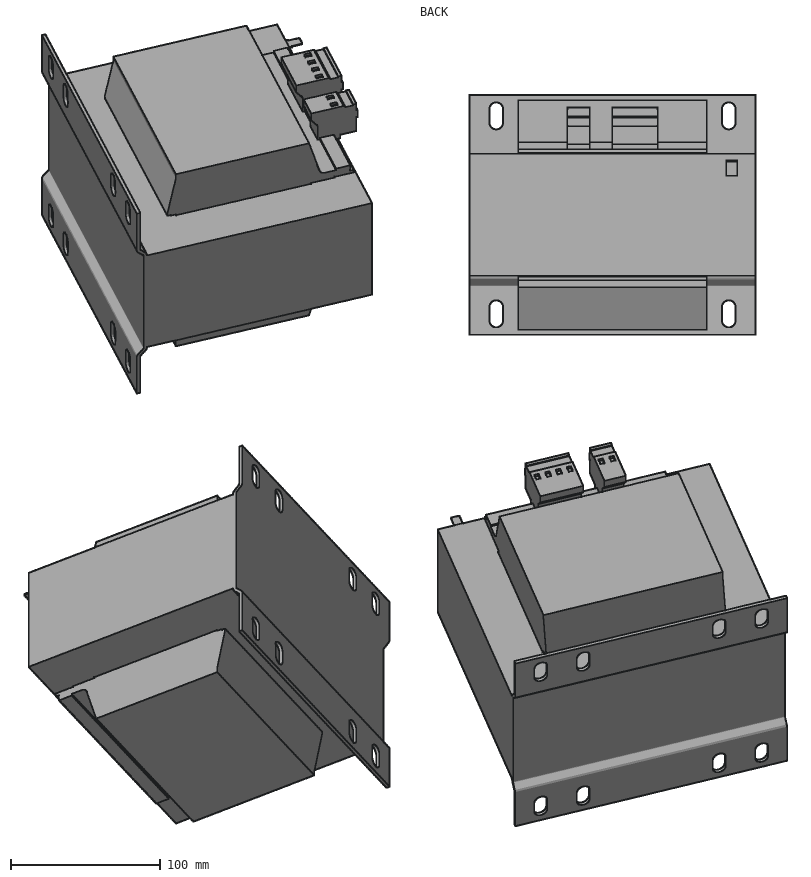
import cadquery as cq
import math


limb = 32.0
core_width = 6 * limb
core_length = 5 * limb
core_height = 82.0
core_top = core_height / 2

sheet = 2.5
flange_offset = 4.8
bracket_height = 161.0
bracket_top = bracket_height / 2
bend_inner_radius = 1.0
bend_outer_radius = bend_inner_radius + sheet
joggle_start = 41.6
bend_shift = sheet * math.tan(math.radians(45 / 2))
web_back = flange_offset + sheet
core_front = web_back
core_back = core_front + core_length
yoke_front_edge = core_front + limb
yoke_back_edge = core_back - limb

slot_width = 9.0
slot_length = 18.0
slot_height = 66.4
slot_offsets = (48.0, 78.0)

coil_width = 126.5
coil_top = 77.0
coil_front = 33.2
coil_shoulder = 73.4
coil_foot = 43.5
coil_top_back = 134.0
coil_root_back = 142.3
root_radius = 4.0
underside_gap = 0.6
coil_underside = core_top + underside_gap
seat_front = 35.8
seat_back = 152.2

shelf_top = 47.3
rail_top = 48.7
rail_front = 153.2
rail_back = 163.2
lip_back = 165.6
lip_top = 44.0

pole_pitch = 7.6
block_width = 2 * pole_pitch
block_starts = (-30.2, -15.0, 15.1)
block_top = 72.3
block_front = 147.1
block_neck = 151.7
block_nose_bottom = 66.2
block_neck_top = 59.8
block_bottom = 47.2
block_back = 179.3
hook_back = 167.8
hook_bottom = 44.1
bulge = 1.0
bulge_low, bulge_high = 59.4, 66.0
bulge_slope = 0.8
groove_front, groove_back = 171.5, 177.0
groove_floor = 70.9
groove_ridge = 71.7
groove_ramp = block_top - groove_floor
entry_width = 3.0
entry_length = 4.5
entry_depth = 2.0
entry_centre = 164.7

tab_x = -80.0
tab_sheet = 0.8
tab_base_width = 7.7
tab_blade_width = 6.1
tab_top = 36.5
tab_bottom = 26.3
tab_shoulder = 170.9
tab_end = 178.7
tab_end_chamfer = 0.5


def extrude_across(points, x_start, width):
    """Extrude a closed (Y, Z) outline along X."""
    return cq.Workplane("YZ", origin=(x_start, 0, 0)).polyline(points).close().extrude(width)


def fillet_corner(body, y, z, radius):
    """Round the edge along X that passes through (y, z)."""
    edge = cq.selectors.NearestToPointSelector((0, y, z))
    return body.edges(edge).fillet(radius)


def box(x_range, y_range, z_range):
    """Box between pairs of X, Y and Z limits."""
    size = [high - low for low, high in (x_range, y_range, z_range)]
    corner = (x_range[0], y_range[0], z_range[0])
    return cq.Workplane("XY").box(*size, centered=False).translate(corner)


def with_mirror(body):
    """Join a body above the mid plane with its mirror image below."""
    return body.union(body.mirror("XY"))


def make_core():
    """Core block with the narrow gaps between the window sides and the coil."""
    core = box(
        (-core_width / 2, core_width / 2), (core_front, core_back), (-core_top, core_top)
    )
    window_edge = 2 * limb
    for side in (-1, 1):
        x_range = sorted((side * coil_width / 2, side * window_edge))
        gap = box(x_range, (yoke_front_edge, yoke_back_edge), (-core_top, core_top))
        core = core.cut(gap)
    return core


def make_bracket():
    """Front sheet with 45 degree joggles leading to two slotted flanges."""
    joggle_end = joggle_start + flange_offset
    web_outer_bend = (flange_offset, joggle_start)
    web_inner_bend = (web_back, joggle_start + bend_shift)
    flange_outer_bend = (0, joggle_end)
    flange_inner_bend = (sheet, joggle_end + bend_shift)
    upper_half = [
        (web_back, 0),
        web_inner_bend,
        flange_inner_bend,
        (sheet, bracket_top),
        (0, bracket_top),
        flange_outer_bend,
        web_outer_bend,
        (flange_offset, 0),
    ]
    half = extrude_across(upper_half, -core_width / 2, core_width)
    for y, z in (web_outer_bend, flange_inner_bend):
        half = fillet_corner(half, y, z, bend_inner_radius)
    for y, z in (web_inner_bend, flange_outer_bend):
        half = fillet_corner(half, y, z, bend_outer_radius)
    centres = [(side * x, slot_height) for x in slot_offsets for side in (-1, 1)]
    slots = (
        cq.Workplane("XZ")
        .pushPoints(centres)
        .slot2D(slot_length, slot_width, 90)
        .extrude(-sheet)
    )
    return with_mirror(half.cut(slots))


def make_coil_end():
    """Upper bobbin end: tapered coil cover, shelf, terminal rail and lip."""
    outline = [
        (seat_front, core_top),
        (seat_front, coil_underside),
        (coil_front, coil_underside),
        (coil_front, coil_foot),
        (yoke_front_edge, coil_shoulder),
        (yoke_front_edge, coil_top),
        (coil_top_back, coil_top),
        (coil_root_back, shelf_top),
        (rail_front, shelf_top),
        (rail_front, rail_top),
        (rail_back, rail_top),
        (rail_back, lip_top),
        (lip_back, lip_top),
        (lip_back, coil_underside),
        (seat_back, coil_underside),
        (seat_back, core_top),
    ]
    coil_end = extrude_across(outline, -coil_width / 2, coil_width)
    return fillet_corner(coil_end, coil_root_back, shelf_top, root_radius)


def make_terminal_block(x_start):
    """Two-pole terminal block hooked over the back of the rail."""
    outline = [
        (block_front, block_top),
        (block_front, block_nose_bottom),
        (block_neck, block_neck_top),
        (block_neck, shelf_top),
        (rail_front, shelf_top),
        (rail_front, rail_top),
        (rail_back, rail_top),
        (rail_back, hook_bottom),
        (hook_back, hook_bottom),
        (hook_back, block_bottom),
        (block_back, block_bottom),
        (block_back, bulge_low),
        (block_back + bulge, bulge_low),
        (block_back + bulge, bulge_high - bulge_slope),
        (block_back, bulge_high),
        (block_back, groove_ridge),
        (groove_back, groove_ridge),
        (groove_back, groove_floor),
        (groove_front, groove_floor),
        (groove_front - groove_ramp, block_top),
    ]
    block = extrude_across(outline, x_start, block_width)
    first_pole = x_start + pole_pitch / 2
    entries = (
        cq.Workplane("XY", origin=(0, 0, block_top))
        .pushPoints([(first_pole + pole * pole_pitch, entry_centre) for pole in range(2)])
        .rect(entry_width, entry_length)
        .extrude(-entry_depth)
    )
    return block.cut(entries)


def make_earth_tab():
    """L-shaped sheet tab: a plate on the core and a blade pointing backwards."""
    half_base = tab_base_width / 2
    half_blade = tab_blade_width / 2
    base_range = (tab_x - half_base, tab_x + half_base)
    blade_range = (tab_x - half_blade, tab_x + half_blade)
    blade_bottom = tab_top - tab_sheet
    plate = box(base_range, (core_back, core_back + tab_sheet), (tab_bottom, tab_top))
    shoulder = box(base_range, (core_back, tab_shoulder), (blade_bottom, tab_top))
    blade = box(blade_range, (core_back, tab_end), (blade_bottom, tab_top))
    blade = blade.faces(">Y").edges("|Z").chamfer(tab_end_chamfer)
    return plate.union(shoulder).union(blade)


result = make_core().union(make_bracket()).union(with_mirror(make_coil_end()))
for block_start in block_starts:
    result = result.union(make_terminal_block(block_start))
result = result.union(make_earth_tab())